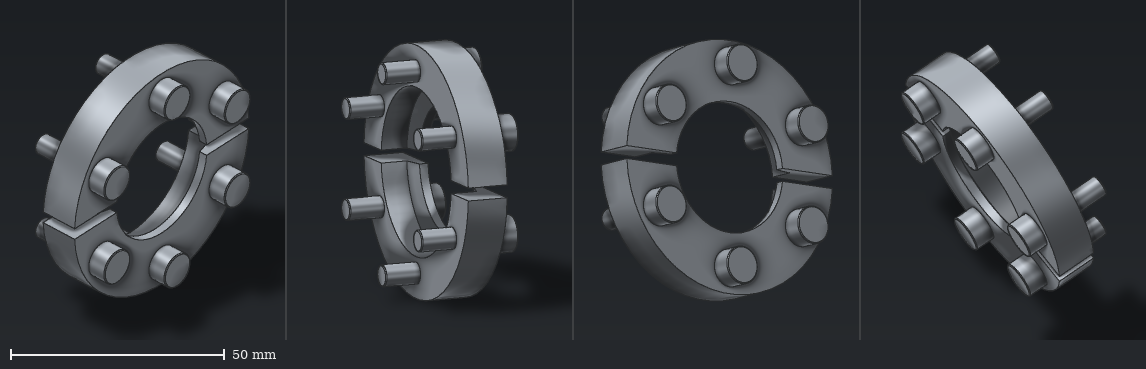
import cadquery as cq
import math


ring_radius = 30.2
ring_thickness = 9.95
ring_front_x = -ring_thickness
split_gap = 3.0

recess_radius = 20.15
recess_depth = 6.5
bore_radius = 15.6
cone_length = 1.2
recess_floor_x = ring_front_x + recess_depth
land_front_x = recess_floor_x + cone_length

screw_count = 6
screw_circle_radius = 24.0
shank_radius = 2.6
shank_protrusion = 8.8
shank_length = ring_thickness + shank_protrusion
head_radius = 4.45
head_height = 5.0
end_chamfer = 0.25


def screw_positions():
    """Return the (Y, Z) screw centres, evenly spaced from the top of the ring."""
    step = 2 * math.pi / screw_count
    return [
        (screw_circle_radius * math.sin(i * step), screw_circle_radius * math.cos(i * step))
        for i in range(screw_count)
    ]


def make_full_ring():
    """Revolve the ring section around the X axis."""
    section = (
        cq.Workplane("XY")
        .moveTo(ring_front_x, ring_radius)
        .lineTo(0, ring_radius)
        .lineTo(0, bore_radius)
        .lineTo(land_front_x, bore_radius)
        .lineTo(recess_floor_x, recess_radius)
        .lineTo(ring_front_x, recess_radius)
        .close()
    )
    return section.revolve(360, (0, 0, 0), (1, 0, 0))


def make_half_ring(side):
    """Make the upper (side = 1) or lower (side = -1) half ring with its screw holes."""
    half_height = ring_radius - split_gap / 2
    half_space = cq.Workplane("XY").box(2 * ring_thickness, 2 * ring_radius, half_height).translate(
        (ring_front_x / 2, 0, side * (split_gap + half_height) / 2)
    )
    holes = (
        cq.Workplane("YZ", origin=(ring_front_x, 0, 0))
        .pushPoints(screw_positions())
        .circle(shank_radius)
        .extrude(ring_thickness)
    )
    return make_full_ring().intersect(half_space).cut(holes)


def make_screw(y, z):
    """Make one cap screw with its head on the back face and its tip ahead of the front face."""
    shank = (
        cq.Workplane("YZ", origin=(0, y, z))
        .circle(shank_radius)
        .extrude(-shank_length)
        .faces("<X")
        .chamfer(end_chamfer)
    )
    head = (
        cq.Workplane("YZ", origin=(0, y, z))
        .circle(head_radius)
        .extrude(head_height)
        .faces(">X")
        .chamfer(end_chamfer)
    )
    return shank.union(head)


half_rings = [make_half_ring(side) for side in (1, -1)]
screws = [make_screw(y, z) for y, z in screw_positions()]

result = cq.Compound.makeCompound([body.solids().val() for body in half_rings + screws])